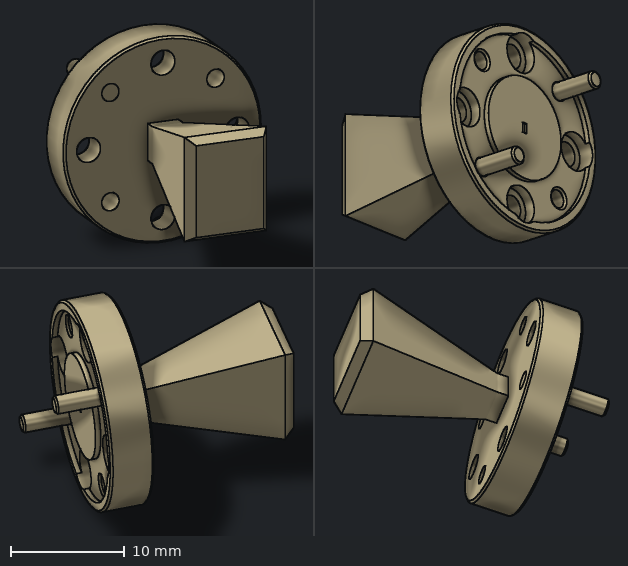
import cadquery as cq
import math

total_length = 22.55
pin_projection = 3.88
flange_thickness = 4.01
flange_front = pin_projection
flange_back = flange_front + flange_thickness

flange_diameter = 19.05
flange_chamfer = 0.2
recess_outer_diameter = 17.22
boss_diameter = 9.55
recess_depth = 0.5
recess_floor = flange_front + recess_depth

hole_circle_radius = 7.15
screw_hole_diameter = 2.28
counterbore_diameter = 3.58
counterbore_depth = 1.5
screw_angles = (0, 90, 180, 270)

pin_diameter = 1.65
pin_tip_chamfer = 0.18
pin_hole_chamfer = 0.07
pin_angles = (135, 315)
dowel_hole_diameter = 1.67
dowel_hole_chamfer = 0.2
dowel_angles = (45, 225)

slot_width = 0.5
slot_height = 0.92
slot_depth = 0.2

neck_length = 1.01
mouth_length = 1.0
neck_width, neck_height = 2.93, 3.45
flare_width, flare_height = 7.87, 9.65
mouth_width, mouth_height = 6.51, 8.5


def axial_plane(x):
    """YZ plane at the given X: local x is +Y, local y is +Z, normal is +X."""
    return cq.Workplane("YZ", origin=(x, 0, 0))


def circle_points(angles):
    """Points on the hole circle at the given angles in degrees."""
    return [
        (hole_circle_radius * math.cos(math.radians(a)), hole_circle_radius * math.sin(math.radians(a)))
        for a in angles
    ]


def frustum(x_start, x_end, start_size, end_size):
    """Rectangular body tapering between two centred sections."""
    return (
        axial_plane(x_start)
        .rect(*start_size)
        .workplane(offset=x_end - x_start)
        .rect(*end_size)
        .loft(ruled=True, combine=True)
    )


def make_horn():
    flare_start = flange_back + neck_length
    flare_end = total_length - mouth_length
    neck_size = (neck_width, neck_height)
    flare_size = (flare_width, flare_height)
    mouth_size = (mouth_width, mouth_height)
    neck = axial_plane(flange_back).rect(*neck_size).extrude(neck_length)
    flare = frustum(flare_start, flare_end, neck_size, flare_size)
    mouth = frustum(flare_end, total_length, flare_size, mouth_size)
    return neck.union(flare).union(mouth)


def make_flange_disc():
    disc = axial_plane(flange_front).circle(flange_diameter / 2).extrude(flange_thickness)
    disc = disc.edges().chamfer(flange_chamfer)
    recess = (
        axial_plane(flange_front)
        .circle(recess_outer_diameter / 2)
        .circle(boss_diameter / 2)
        .extrude(recess_depth)
    )
    return disc.cut(recess)


def screw_hole_cutter():
    points = circle_points(screw_angles)
    holes = axial_plane(flange_front).pushPoints(points).circle(screw_hole_diameter / 2)
    holes = holes.extrude(flange_thickness)
    counterbores = axial_plane(flange_front).pushPoints(points).circle(counterbore_diameter / 2)
    return holes.union(counterbores.extrude(counterbore_depth))


def chamfered_hole_cutter(point, diameter, chamfer):
    """Through hole with a chamfered mouth at the recess floor."""
    hole = axial_plane(recess_floor).center(*point).circle(diameter / 2)
    hole = hole.extrude(flange_back - recess_floor)
    countersink = (
        axial_plane(recess_floor)
        .center(*point)
        .circle(diameter / 2 + chamfer)
        .workplane(offset=chamfer)
        .circle(diameter / 2)
        .loft(combine=True)
    )
    return hole.union(countersink)


def make_horn_antenna():
    """Flange and horn in one piece."""
    body = make_flange_disc().union(make_horn()).cut(screw_hole_cutter())
    for point in circle_points(pin_angles):
        body = body.cut(chamfered_hole_cutter(point, pin_diameter, pin_hole_chamfer))
    for point in circle_points(dowel_angles):
        body = body.cut(chamfered_hole_cutter(point, dowel_hole_diameter, dowel_hole_chamfer))
    slot = axial_plane(flange_front).rect(slot_width, slot_height).extrude(slot_depth)
    return body.cut(slot)


def make_pin(point):
    """Alignment pin reaching from its free tip to the back of the flange."""
    pin = axial_plane(0).center(*point).circle(pin_diameter / 2).extrude(flange_back)
    return pin.faces("<X").chamfer(pin_tip_chamfer)


horn_antenna = make_horn_antenna()
pins = [make_pin(point) for point in circle_points(pin_angles)]

result = cq.Compound.makeCompound([horn_antenna.val(), *[pin.val() for pin in pins]])